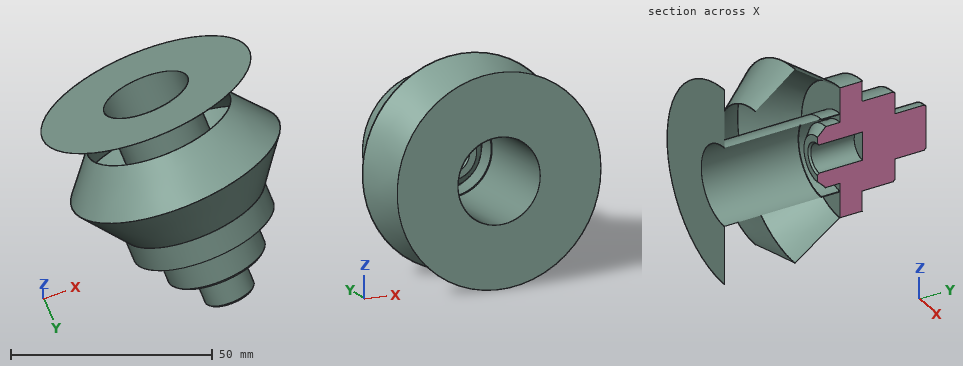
import cadquery as cq

TOTAL_LENGTH = 58.3
RIM_THICKNESS = 0.05
COLLAR_END = 9.0
RIDGE = 20.4
FLANGE_START = 33.35
FLANGE_END = 39.9
BOSS_END = 49.3

RIDGE_DIAMETER = 56.0
RIM_DIAMETER = RIDGE_DIAMETER
COLLAR_DIAMETER = 22.7
CONE_BASE_DIAMETER = 38.5
FLANGE_DIAMETER = 37.6
BOSS_DIAMETER = 26.0
PIN_DIAMETER = 13.2
EDGE_CHAMFER = 0.6

BELLOWS_WALL = 0.1

COLLAR_WALL = 0.05
MOUTH_DIAMETER = COLLAR_DIAMETER - 2 * COLLAR_WALL
INNER_BORE_DIAMETER = 22.0
POST_DIAMETER = 17.7
POST_TIP_DIAMETER = 12.9
BORE_STEP = 28.0
POST_TIP = 26.8
POST_TAPER = (POST_DIAMETER - POST_TIP_DIAMETER) / 2
POST_HOLE_DIAMETER = 8.0
COUNTERSINK = 0.5


def turned(points):
    """Revolve a closed (diameter, axial station) outline about the Y axis."""
    outline = [(diameter / 2, station) for diameter, station in points]
    return cq.Workplane("XY").polyline(outline).close().revolve(360, (0, 0, 0), (0, 1, 0))


def outer_body():
    """Rim disc, collar, double cone, flange, boss and pin."""
    return turned([
        (0, 0),
        (RIM_DIAMETER, 0),
        (RIM_DIAMETER, RIM_THICKNESS),
        (COLLAR_DIAMETER, RIM_THICKNESS),
        (COLLAR_DIAMETER, COLLAR_END),
        (CONE_BASE_DIAMETER, COLLAR_END),
        (RIDGE_DIAMETER, RIDGE),
        (FLANGE_DIAMETER, FLANGE_START),
        (FLANGE_DIAMETER, FLANGE_END),
        (BOSS_DIAMETER, FLANGE_END),
        (BOSS_DIAMETER, BOSS_END - EDGE_CHAMFER),
        (BOSS_DIAMETER - 2 * EDGE_CHAMFER, BOSS_END),
        (PIN_DIAMETER, BOSS_END),
        (PIN_DIAMETER, TOTAL_LENGTH - EDGE_CHAMFER),
        (PIN_DIAMETER - 2 * EDGE_CHAMFER, TOTAL_LENGTH),
        (0, TOTAL_LENGTH),
    ])


def bellows_cavity():
    """Ring-shaped space between the collar tube and the thin double cone."""
    return turned([
        (COLLAR_DIAMETER, COLLAR_END),
        (CONE_BASE_DIAMETER - 2 * BELLOWS_WALL, COLLAR_END),
        (RIDGE_DIAMETER - 2 * BELLOWS_WALL, RIDGE),
        (FLANGE_DIAMETER - 2 * BELLOWS_WALL, FLANGE_START),
        (COLLAR_DIAMETER, FLANGE_START),
    ])


def bore_cavity():
    """Stepped bore around the tapered post, with the countersunk blind hole in the post."""
    return turned([
        (0, 0),
        (MOUTH_DIAMETER, 0),
        (MOUTH_DIAMETER, BORE_STEP),
        (INNER_BORE_DIAMETER, BORE_STEP),
        (INNER_BORE_DIAMETER, FLANGE_START),
        (POST_DIAMETER, FLANGE_START),
        (POST_DIAMETER, POST_TIP + POST_TAPER),
        (POST_TIP_DIAMETER, POST_TIP),
        (POST_HOLE_DIAMETER + 2 * COUNTERSINK, POST_TIP),
        (POST_HOLE_DIAMETER, POST_TIP + COUNTERSINK),
        (POST_HOLE_DIAMETER, FLANGE_END),
        (0, FLANGE_END),
    ])


result = outer_body().cut(bellows_cavity()).cut(bore_cavity())